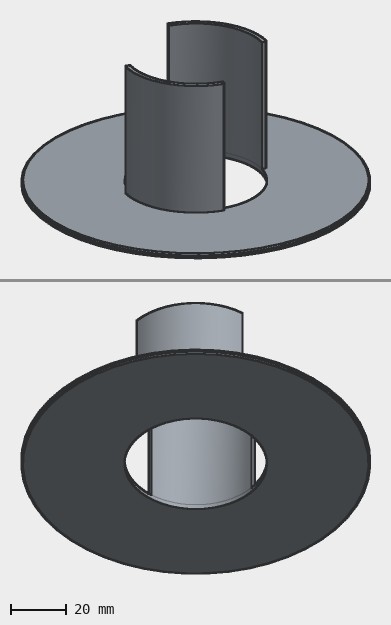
import cadquery as cq

flange_diameter = 125.0
flange_thickness = 2.0
rim_chamfer = 0.6

bore_diameter = 51.0
wall_thickness = 2.0
sleeve_height = 50.0
leaf_edge_chamfer = 0.5

bore_radius = bore_diameter / 2
sleeve_radius = bore_radius + wall_thickness
total_height = flange_thickness + sleeve_height


def make_flange():
    """Disc with both rim edges chamfered, bored through the middle."""
    disc = cq.Workplane("XY").circle(flange_diameter / 2).extrude(flange_thickness)
    disc = disc.edges().chamfer(rim_chamfer)
    return disc.faces(">Z").workplane().hole(bore_diameter)


def make_leaf(x_side, y_side):
    """Quarter of the sleeve in one quadrant, its outer upright edges chamfered."""
    ring = (
        cq.Workplane("XY")
        .workplane(offset=flange_thickness)
        .circle(sleeve_radius)
        .circle(bore_radius)
        .extrude(sleeve_height)
    )
    quadrant = (
        cq.Workplane("XY")
        .center(x_side * sleeve_radius / 2, y_side * sleeve_radius / 2)
        .rect(sleeve_radius, sleeve_radius)
        .extrude(total_height)
    )
    leaf = ring.intersect(quadrant)
    outer_face = leaf.faces("%CYLINDER").faces(cq.selectors.AreaNthSelector(-1))
    outer_edges = outer_face.edges("|Z")
    return leaf.newObject(outer_edges.vals()).chamfer(leaf_edge_chamfer)


result = make_flange()
for x_side, y_side in ((-1, 1), (1, -1)):
    result = result.union(make_leaf(x_side, y_side))